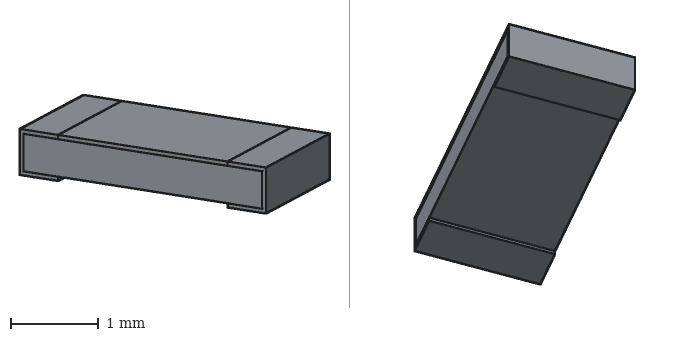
import cadquery as cq

length = 3.2
width = 1.53
height = 0.55

plating = 0.05
cap_reach = 0.5

core_length = length - 2 * plating
core_height = height - 2 * plating
coat_length = length - 2 * cap_reach


def make_core():
    """Plain ceramic block centred on the origin."""
    return cq.Workplane("XY").box(core_length, width, core_height)


def make_coat():
    """Thin layer on top of the core, filling the space between the caps."""
    coat_z = (core_height + plating) / 2
    return cq.Workplane("XY").box(coat_length, width, plating).translate((0, 0, coat_z))


def make_end_cap(side):
    """C-shaped cap around one end of the core; side is -1 or +1 along X."""
    cap_x = side * (length - cap_reach) / 2
    block = cq.Workplane("XY").box(cap_reach, width, height).translate((cap_x, 0, 0))
    return block.cut(make_core()).solids()


core = make_core()
coat = make_coat()
end_caps = [make_end_cap(side) for side in (-1, 1)]

result = cq.Compound.makeCompound([core.val(), coat.val(), *[cap.val() for cap in end_caps]])